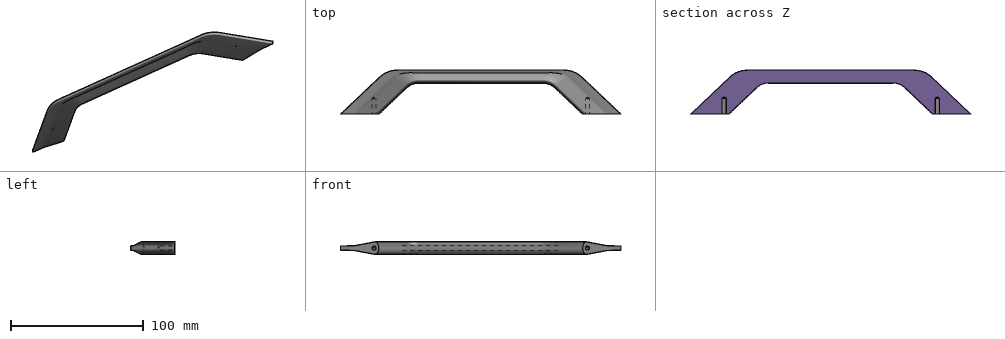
import math

import cadquery as cq

length = 211.32
height = 33.33
thickness = 9.63

bar_width = 10.0
bar_strip_width = 2.3
foot_strip_width = 7.1
outer_edge_half = 1.7
strip_end_half = 1.85
grip_radius = 10.0
grip_fillet = 1.0
outer_edge_fillet = 0.6

foot_angle = 43.5
inner_bend_radius = 13.3
outer_bend_radius = 20.0
bar_half_length = 46.9
bend_sections = 7
bend_easing = 1.5

hole_diameter = 3.0
hole_depth = 12.0
hole_tip_angle = 118.0
hole_x = 80.3

angle = math.radians(foot_angle)
foot_overrun = 20.0
flatness = 1e-6
bend_center_x = -bar_half_length
bend_center_y = height - bar_width - inner_bend_radius

center_to_end = length / 2 + bend_center_x
outer_edge_radius = center_to_end * math.sin(angle) - bend_center_y * math.cos(angle)
foot_width = outer_edge_radius - inner_bend_radius
foot_length = center_to_end * math.cos(angle) + bend_center_y * math.sin(angle)


def section_plane(turn):
    """Plane across the handle; local x points from the bend centre to the outer edge."""
    outward = (-math.sin(turn), math.cos(turn), 0)
    along = (math.cos(turn), math.sin(turn), 0)
    return cq.Plane((bend_center_x, bend_center_y, 0), outward, along)


def section_wire(plane, width, strip_width):
    """Closed outline: narrow outer edge, shallow strip, taper, fillet and rounded grip side."""
    outer = inner_bend_radius + width
    strip_end = outer - strip_width
    grip_center = inner_bend_radius + grip_radius
    fillet_z = thickness / 2 - grip_fillet
    fillet_x = grip_center - math.sqrt((grip_radius - grip_fillet) ** 2 - fillet_z**2)

    rise = fillet_z - strip_end_half
    run = strip_end - fillet_x
    reach = math.hypot(rise, run)
    touch = math.atan2(-rise, run) + math.acos(grip_fillet / reach)
    leave = math.atan2(fillet_z, fillet_x - grip_center)

    def on_fillet(direction):
        return (
            fillet_x + grip_fillet * math.cos(direction),
            fillet_z + grip_fillet * math.sin(direction),
        )

    def mirrored(point):
        return (point[0], -point[1])

    start = on_fillet(touch)
    middle = on_fillet((touch + leave) / 2)
    end = on_fillet(leave)
    outline = (
        cq.Workplane(plane)
        .moveTo(outer, -outer_edge_half)
        .lineTo(outer, outer_edge_half)
        .lineTo(strip_end, strip_end_half)
        .lineTo(*start)
        .threePointArc(middle, end)
        .threePointArc((inner_bend_radius, 0), mirrored(end))
        .threePointArc(mirrored(middle), mirrored(start))
        .lineTo(strip_end, -strip_end_half)
        .close()
    )
    return outline.val()


def make_bar():
    wire = section_wire(section_plane(0), bar_width, bar_strip_width)
    return cq.Solid.extrudeLinear(wire, [], cq.Vector(bar_half_length, 0, 0))


def make_bend():
    """The section widens ever faster through the turn from the bar to the foot."""
    wires = []
    for index in range(bend_sections):
        turn_share = index / (bend_sections - 1)
        share = turn_share**bend_easing
        width = bar_width + share * (foot_width - bar_width)
        strip_width = bar_strip_width + share * (foot_strip_width - bar_strip_width)
        wires.append(section_wire(section_plane(turn_share * angle), width, strip_width))
    return cq.Solid.makeLoft(wires)


def make_foot():
    wire = section_wire(section_plane(angle), foot_width, foot_strip_width)
    reach = foot_length + foot_overrun
    return cq.Solid.extrudeLinear(
        wire, [], cq.Vector(-reach * math.cos(angle), -reach * math.sin(angle), 0)
    )


def trim_outline():
    """Half outline: flat foot face, sloping outer edge, outer bend and straight top."""
    corner_x = -length / 2 + height / math.tan(angle)
    setback = outer_bend_radius * math.tan(angle / 2)
    bend_start = (corner_x - setback * math.cos(angle), height - setback * math.sin(angle))
    return (
        cq.Workplane("XY")
        .workplane(offset=-thickness)
        .moveTo(0, 0)
        .lineTo(-length / 2, 0)
        .lineTo(*bend_start)
        .tangentArcPoint((corner_x + setback, height), relative=False)
        .lineTo(0, height)
        .close()
        .extrude(2 * thickness)
    )


def make_hole():
    """Blind drilled hole with a conical tip, square to the foot face."""
    radius = hole_diameter / 2
    tip = radius / math.tan(math.radians(hole_tip_angle / 2))
    return (
        cq.Workplane("XY")
        .moveTo(0, 0)
        .lineTo(radius, 0)
        .lineTo(radius, hole_depth)
        .lineTo(0, hole_depth + tip)
        .close()
        .revolve(360, (0, 0, 0), (0, 1, 0))
        .translate((-hole_x, 0, 0))
    )


def outer_rim(body):
    """Upper and lower edges of the outer wall: sloping edge, bend and straight top."""
    edges = []
    for wall in body.faces().vals():
        normal = wall.normalAt()
        upright = abs(normal.z) < flatness
        if upright and normal.y > flatness:
            edges += [edge for edge in wall.Edges() if abs(edge.Center().z) > outer_edge_half / 2]
    return edges


def make_half():
    body = cq.Workplane(make_bar()).union(cq.Workplane(make_bend())).union(cq.Workplane(make_foot()))
    body = body.intersect(trim_outline())
    body = body.newObject(outer_rim(body)).fillet(outer_edge_fillet)
    return body.cut(make_hole())


half = make_half()
result = half.union(half.mirror("YZ"))